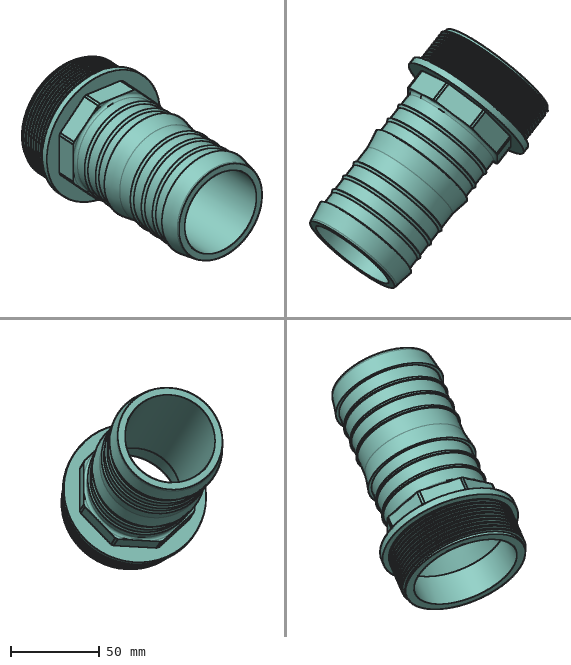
import cadquery as cq
import math

total_length = 135.2
flange_start = 24.5
flange_end = 28.8
wrench_end = 41.4
front_rib_start = 51.1
first_barb_start = 70.5
last_barb_start = 122.8
barb_length = 11.2
tip_chamfer_start = last_barb_start + barb_length
rib_pitch = 10.0
rib_length = 1.9
front_rib_count = 2
rear_rib_count = 3

flange_radius = 82.0 / 2
hose_radius = 30.5
barb_radius = 32.6
rib_radius = 31.5
tip_radius = 30.1
entry_bore_radius = 31.1
bore_radius = 26.0

entry_bore_depth = 19.3
bore_cone_end = 30.7

wrench_sides = 8
wrench_across_flats = 63.8
wrench_corner_radius = 34.2
wrench_fillet = 1.9

thread_root_radius = 36.2
thread_crest_radius = 37.6
thread_pitch = 2.3
thread_start = 1.0
thread_base_width = 2.0
thread_crest_width = 0.7
thread_root_overlap = 0.3
thread_end_overlap = 0.8


def cylinder(start, end, radius):
    """Solid cylinder on the X axis between two stations."""
    return cq.Workplane("YZ", origin=(start, 0, 0)).circle(radius).extrude(end - start)


def revolve_profile(points):
    """Revolve (x, radius) points about the X axis."""
    return cq.Workplane("XY").polyline(points).close().revolve(360, (0, 0, 0), (1, 0, 0))


def ramped_ring(start, length, radius):
    """Ring with a square leading shoulder that tapers down to the hose tail."""
    return revolve_profile([
        (start, 0),
        (start, radius),
        (start + length, hose_radius),
        (start + length, 0),
    ])


def wrench_section():
    """Octagon with two flats square to Y and two square to Z."""
    corner_diameter = wrench_across_flats / math.cos(math.pi / wrench_sides)
    octagon = (
        cq.Workplane("YZ", origin=(flange_end, 0, 0))
        .transformed(rotate=(0, 0, 180 / wrench_sides))
        .polygon(wrench_sides, corner_diameter)
        .extrude(wrench_end + wrench_fillet - flange_end)
    )
    fillet_end = wrench_end + wrench_fillet
    fillet_top = hose_radius + wrench_fillet
    fillet_mid_offset = wrench_fillet * math.sqrt(0.5)
    envelope = (
        cq.Workplane("XY")
        .moveTo(flange_end, 0)
        .lineTo(flange_end, wrench_corner_radius)
        .lineTo(wrench_end, wrench_corner_radius)
        .lineTo(wrench_end, fillet_top)
        .threePointArc(
            (fillet_end - fillet_mid_offset, fillet_top - fillet_mid_offset),
            (fillet_end, hose_radius),
        )
        .lineTo(fillet_end, 0)
        .close()
        .revolve(360, (0, 0, 0), (1, 0, 0))
    )
    return octagon.intersect(envelope)


def threaded_end():
    """Root cylinder with a right-handed helical ridge that runs out inside the flange."""
    first_center = thread_start + thread_base_width / 2
    height = flange_start + thread_end_overlap - first_center
    base_radius = thread_root_radius - thread_root_overlap
    helix = cq.Wire.makeHelix(thread_pitch, height, thread_root_radius)
    ridge = (
        cq.Workplane("XZ")
        .polyline([
            (base_radius, -thread_base_width / 2),
            (thread_crest_radius, -thread_crest_width / 2),
            (thread_crest_radius, thread_crest_width / 2),
            (base_radius, thread_base_width / 2),
        ])
        .close()
        .sweep(cq.Workplane(obj=helix), isFrenet=True)
        .translate((0, 0, first_center))
    )
    root = cq.Workplane("XY").circle(thread_root_radius).extrude(flange_end)
    upright = root.union(ridge)
    return upright.rotate((0, 0, 0), (0, 1, 0), 90).rotate((0, 0, 0), (1, 0, 0), 90)


def bore():
    """Through bore with a wider entry at the threaded end."""
    return revolve_profile([
        (0, 0),
        (0, entry_bore_radius),
        (entry_bore_depth, entry_bore_radius),
        (bore_cone_end, bore_radius),
        (total_length, bore_radius),
        (total_length, 0),
    ])


body = cylinder(flange_end, tip_chamfer_start, hose_radius)
for barb_start in (first_barb_start, last_barb_start):
    body = body.union(ramped_ring(barb_start, barb_length, barb_radius))
front_ribs = [front_rib_start + i * rib_pitch for i in range(front_rib_count)]
rear_ribs = [last_barb_start - i * rib_pitch for i in range(1, rear_rib_count + 1)]
for rib_start in front_ribs + rear_ribs:
    body = body.union(ramped_ring(rib_start, rib_length, rib_radius))

body = body.union(revolve_profile([
    (tip_chamfer_start, 0),
    (tip_chamfer_start, hose_radius),
    (total_length, tip_radius),
    (total_length, 0),
]))

body = body.union(wrench_section())
body = body.union(cylinder(flange_start, flange_end, flange_radius))
body = body.union(threaded_end())

result = body.cut(bore())